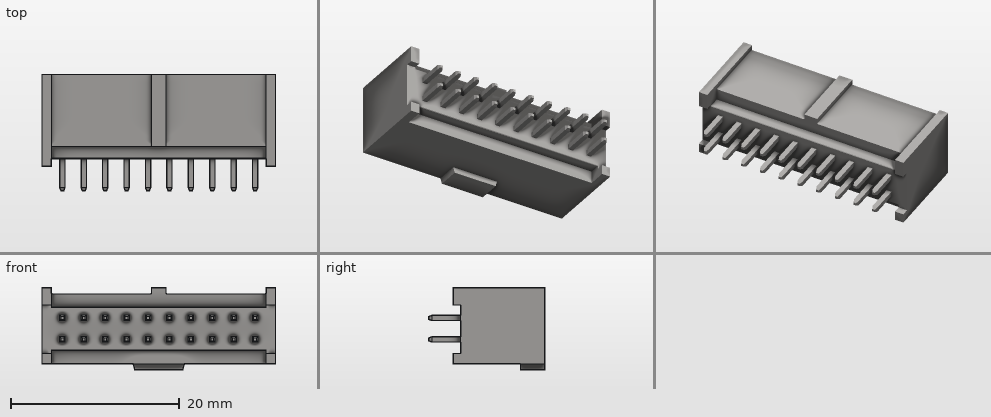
import cadquery as cq

housing_length = 27.74
housing_height = 9.05
housing_depth = 10.0
end_wall_thickness = 1.13
end_wall_depth = 10.9
panel_top = 8.3
panel_depth = 8.56
root_fillet = 0.12

rear_block_bottom = 1.6
rear_block_top = 6.75
rear_edge_chamfer = 0.07

lower_foot_height = 1.25
upper_foot_height = 2.1

rib_width = 1.74
key_height = 0.7
key_top_width = 6.1
key_bottom_width = 5.7
key_depth = 2.9

pins_per_row = 10
row_count = 2
pitch = 2.54
pin_width = 0.65
pin_tip_width = 0.34
pin_tip_length = 0.4
pin_end = 13.8
lower_row_height = 2.905
pin_embed = 0.5

inner_length = housing_length - 2 * end_wall_thickness


def box(x_min, x_max, depth_min, depth_max, z_min, z_max):
    """Box whose depths are measured from the mating face towards -Y."""
    size = (x_max - x_min, depth_max - depth_min, z_max - z_min)
    return cq.Workplane("XY").box(*size, centered=False).translate((x_min, -depth_max, z_min))


def make_front_block():
    """Full-section block with its top panels lowered beside the rib and end walls."""
    block = box(-housing_length / 2, housing_length / 2, 0, panel_depth, 0, housing_height)
    for side in (-1, 1):
        x_min, x_max = sorted((side * rib_width / 2, side * inner_length / 2))
        recess = box(x_min, x_max, 0, panel_depth, panel_top, housing_height)
        recess = recess.edges("|Y and <Z").fillet(root_fillet)
        block = block.cut(recess)
    return block


def make_rear_block():
    """Pin-carrying block behind the panels, with its long rear edges chamfered."""
    block = box(-inner_length / 2, inner_length / 2, 0, housing_depth, rear_block_bottom, rear_block_top)
    return block.edges("|X and <Y").chamfer(rear_edge_chamfer)


def make_end_wall(side):
    """End wall with an upper and a lower foot standing behind its rear face."""
    x_min, x_max = sorted((side * inner_length / 2, side * housing_length / 2))
    wall = box(x_min, x_max, 0, housing_depth, 0, housing_height)
    lower_foot = box(x_min, x_max, 0, end_wall_depth, 0, lower_foot_height)
    upper_foot = box(x_min, x_max, 0, end_wall_depth, housing_height - upper_foot_height, housing_height)
    return wall.union(lower_foot).union(upper_foot)


def make_key():
    """Polarising key under the mating edge, narrowing downwards."""
    outline = [
        (-key_top_width / 2, 0),
        (key_top_width / 2, 0),
        (key_bottom_width / 2, -key_height),
        (-key_bottom_width / 2, -key_height),
    ]
    return cq.Workplane("XZ").polyline(outline).close().extrude(key_depth)


def make_pin(x, z):
    """Square pin rooted in the rear block, ending in a tapered tip."""
    half = pin_width / 2
    shank_end = pin_end - pin_tip_length
    shank = box(x - half, x + half, housing_depth - pin_embed, shank_end, z - half, z + half)
    tip = (
        cq.Workplane("XZ", origin=(x, -shank_end, z))
        .rect(pin_width, pin_width)
        .workplane(offset=pin_tip_length)
        .rect(pin_tip_width, pin_tip_width)
        .loft()
    )
    return shank.union(tip)


result = make_front_block().union(make_rear_block()).union(make_key())

for wall_side in (-1, 1):
    result = result.union(make_end_wall(wall_side))

for row in range(row_count):
    for column in range(pins_per_row):
        pin_x = (column - (pins_per_row - 1) / 2) * pitch
        pin_z = lower_row_height + row * pitch
        result = result.union(make_pin(pin_x, pin_z))